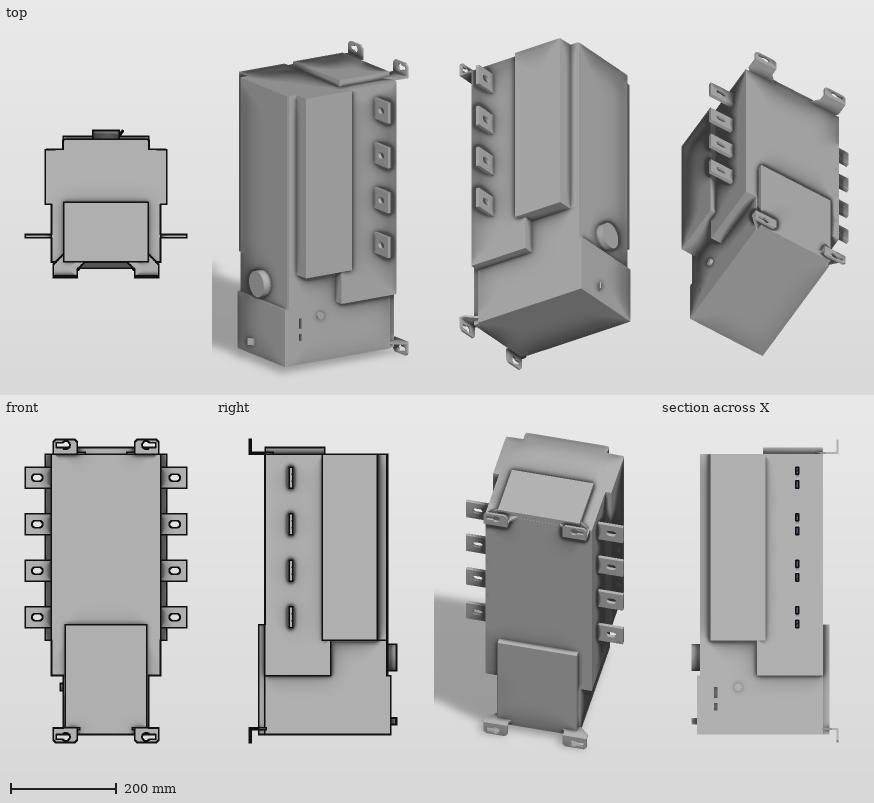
import cadquery as cq
import math


total_width = 306.0
total_depth = 278.9
total_height = 574.0

base_width = 207.0
housing_width = 230.0
core_width = 162.0
upper_core_width = 163.0
base_back = 29.5
housing_back = 138.5
base_front = 154.5
housing_front_outer = 242.5
housing_front_inner = 243.5
core_front = 260.0
drive_front = 268.0
drive_bottom = 15.0
base_bottom = 127.0
housing_bottom = 193.5
body_top = 546.0

face_plate_width = 160.0
face_plate_thickness = 2.0
rear_cover_width = 154.0
rear_cover_back = 17.5
rear_cover_top = 223.5
top_cover_width = 159.2
top_cover_back = 30.0
top_cover_front = 143.0
top_cover_top = 559.0

terminal_count = 4
terminal_pitch = 88.0
terminal_first_z = 237.4
terminal_height = 40.0
terminal_thickness = 6.5
terminal_y = 78.7
terminal_hole_x = 130.0
terminal_hole_length = 20.0
terminal_hole_height = 13.0

foot_outer_x = 100.0
foot_inner_x = 54.0
foot_thickness = 4.0
foot_leg_height = 28.0
foot_corner = 5.0
foot_hole_inset = 11.0
foot_hole_x = 76.0
foot_hole_diameter = 15.0
foot_slot_end_x = 94.0
foot_slot_height = 8.5
foot_arm_shift = 21.0
top_foot_outer_bend_y = 25.0
top_foot_inner_bend_y = 15.5
bottom_foot_bend_y = 13.0

knob_diameter = 50.5
knob_z = 161.0
pin_diameter = 14.0
pin_length = 6.0
pin_y = 190.0
pin_z = 105.0
slit_y = 232.5
slit_width = 6.0
slit_depth = 10.0
slit_spans = ((84.5, 105.5), (60.5, 75.0))
lever_tip_x = 31.0
lever_thickness = 2.5
lever_length = 16.0
lever_angle = math.radians(38.0)
lever_bottom = 34.0
lever_top = 47.0


def block(x0, x1, y0, y1, z0, z1):
    """Axis-aligned box between opposite corners."""
    return cq.Workplane("XY").box(x1 - x0, y1 - y0, z1 - z0, centered=False).translate((x0, y0, z0))


def centred_block(width, y0, y1, z0, z1):
    """Box centred on the mid plane."""
    return block(-width / 2, width / 2, y0, y1, z0, z1)


def prism(points, z0, z1):
    """Vertical prism over an XY outline."""
    return cq.Workplane("XY").workplane(offset=z0).polyline(points).close().extrude(z1 - z0)


def make_enclosure():
    base = centred_block(base_width, base_back, base_front, base_bottom, body_top)
    core = centred_block(core_width, base_back, core_front, base_bottom, housing_bottom)
    upper_core = centred_block(upper_core_width, base_back, core_front, housing_bottom, body_top)
    drive = centred_block(core_width, base_back, drive_front, drive_bottom, base_bottom)
    housing_outline = [
        (-housing_width / 2, housing_back),
        (housing_width / 2, housing_back),
        (housing_width / 2, housing_front_outer),
        (upper_core_width / 2, housing_front_inner),
        (-upper_core_width / 2, housing_front_inner),
        (-housing_width / 2, housing_front_outer),
    ]
    housing = prism(housing_outline, housing_bottom, body_top)
    return base.union(core).union(upper_core).union(drive).union(housing)


def make_covers():
    face_plate = centred_block(
        face_plate_width, core_front, core_front + face_plate_thickness, base_bottom, body_top
    )
    rear_cover = centred_block(rear_cover_width, rear_cover_back, base_back, drive_bottom, rear_cover_top)
    top_cover = centred_block(top_cover_width, top_cover_back, top_cover_front, body_top, top_cover_top)
    return face_plate, rear_cover, top_cover


def make_terminal(z):
    """Flat bar through the enclosure with an oblong hole at each end."""
    y0 = terminal_y - terminal_thickness / 2
    y1 = terminal_y + terminal_thickness / 2
    bar = centred_block(total_width, y0, y1, z - terminal_height / 2, z + terminal_height / 2)
    holes = (
        cq.Workplane("XZ", origin=(0, y1, z))
        .pushPoints([(-terminal_hole_x, 0), (terminal_hole_x, 0)])
        .slot2D(terminal_hole_length, terminal_hole_height)
        .extrude(terminal_thickness)
    )
    return bar.cut(holes)


def make_foot(outer_bend_y, inner_bend_y):
    """Bottom left foot: a drilled leg, and an arm that slants inwards at 45 degrees."""
    leg = block(-foot_outer_x, -foot_inner_x, 0, foot_thickness, 0, foot_leg_height)
    leg = leg.edges("|Y and <Z").chamfer(foot_corner)
    hole = (
        cq.Workplane("XZ", origin=(-foot_hole_x, foot_thickness, foot_hole_inset))
        .circle(foot_hole_diameter / 2)
        .extrude(foot_thickness)
    )
    slot = block(
        -foot_slot_end_x,
        -foot_hole_x,
        0,
        foot_thickness,
        foot_hole_inset - foot_slot_height / 2,
        foot_hole_inset + foot_slot_height / 2,
    )
    arm_outline = [
        (-foot_outer_x, 0),
        (-foot_inner_x, 0),
        (-foot_inner_x, inner_bend_y),
        (-foot_inner_x + foot_arm_shift, inner_bend_y + foot_arm_shift),
        (-foot_outer_x + foot_arm_shift, outer_bend_y + foot_arm_shift),
        (-foot_outer_x, outer_bend_y),
    ]
    arm = prism(arm_outline, foot_leg_height - foot_thickness, foot_leg_height)
    return leg.cut(hole).cut(slot).union(arm)


def make_feet():
    bottom_left = make_foot(bottom_foot_bend_y, bottom_foot_bend_y)
    top_left = make_foot(top_foot_outer_bend_y, top_foot_inner_bend_y)
    top_left = top_left.mirror("XY").translate((0, 0, total_height))
    return bottom_left, bottom_left.mirror("YZ"), top_left, top_left.mirror("YZ")


def make_knob():
    knob = cq.Workplane("XZ", origin=(0, total_depth, knob_z)).circle(knob_diameter / 2)
    return knob.extrude(total_depth - core_front)


def make_pin():
    pin = cq.Workplane("YZ", origin=(-core_width / 2 - pin_length, pin_y, pin_z))
    return pin.circle(pin_diameter / 2).extrude(2 * pin_length)


def make_lever():
    """Thin tab leaning outwards from the Y direction, rooted in the front of the drive."""
    along_x = lever_length * math.sin(lever_angle)
    along_y = lever_length * math.cos(lever_angle)
    across_x = lever_thickness * math.cos(lever_angle)
    across_y = lever_thickness * math.sin(lever_angle)
    outline = [
        (lever_tip_x, total_depth),
        (lever_tip_x + across_x, total_depth - across_y),
        (lever_tip_x + across_x - along_x, total_depth - across_y - along_y),
        (lever_tip_x - along_x, total_depth - along_y),
    ]
    return prism(outline, lever_bottom, lever_top)


def make_slit(z0, z1):
    side = -core_width / 2
    return block(side, side + slit_depth, slit_y - slit_width / 2, slit_y + slit_width / 2, z0, z1)


result = make_enclosure()
for cover in make_covers():
    result = result.union(cover)
for index in range(terminal_count):
    result = result.union(make_terminal(terminal_first_z + index * terminal_pitch))
for foot in make_feet():
    result = result.union(foot)
result = result.union(make_knob()).union(make_pin()).union(make_lever())
for bottom, top in slit_spans:
    result = result.cut(make_slit(bottom, top))